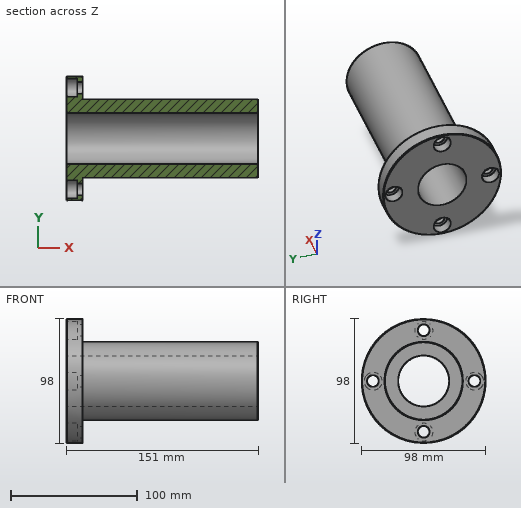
import cadquery as cq

total_length = 151.0
flange_diameter = 98.0
flange_thickness = 13.0
sleeve_diameter = 62.0
bore_diameter = 40.0
edge_chamfer = 0.6

screw_count = 4
screw_circle_diameter = 80.0
screw_hole_diameter = 9.0
counterbore_diameter = 14.0
counterbore_depth = 8.5


def make_flange():
    """Flange disc with both outer rims chamfered."""
    disc = cq.Workplane("YZ").circle(flange_diameter / 2).extrude(flange_thickness)
    return disc.edges().chamfer(edge_chamfer)


def make_sleeve():
    """Long sleeve with its free end chamfered."""
    cylinder = cq.Workplane("YZ").circle(sleeve_diameter / 2).extrude(total_length)
    return cylinder.faces(">X").edges().chamfer(edge_chamfer)


def make_screw_holes():
    """Cutting bodies for the screw holes, counterbored from the flange face."""
    centers = cq.Workplane("YZ").polarArray(screw_circle_diameter / 2, 0, 360, screw_count)
    through_holes = centers.circle(screw_hole_diameter / 2).extrude(flange_thickness)
    counterbores = centers.circle(counterbore_diameter / 2).extrude(counterbore_depth)
    return through_holes.union(counterbores)


bore = cq.Workplane("YZ").circle(bore_diameter / 2).extrude(total_length)

result = make_flange().union(make_sleeve()).cut(bore).cut(make_screw_holes())